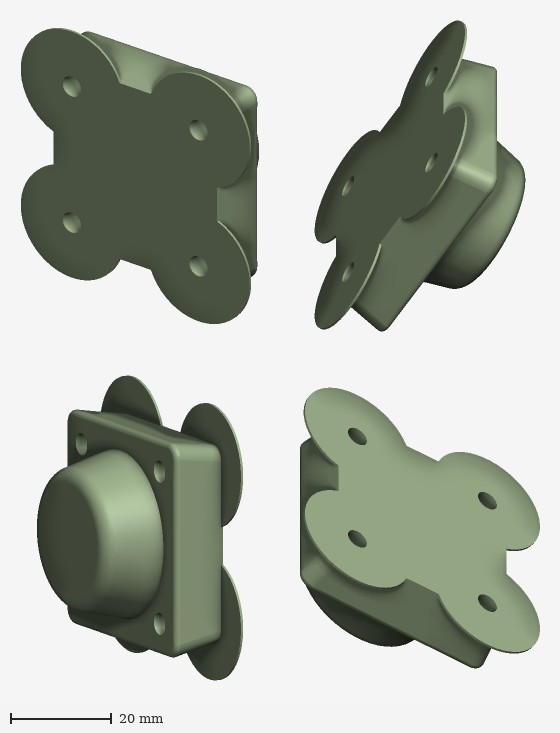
import cadquery as cq

overall_width = 55.95
overall_depth = 24.0

front_width = 40.0
back_width = 43.9
housing_depth = 12.0
corner_radius = 3.0
back_edge_radius = 1.0

tab_diameter = 25.0
tab_thickness = 0.5
hole_diameter = 4.5
hole_spacing = overall_width - tab_diameter

dome_base_diameter = 34.0
dome_end_diameter = 28.0
dome_edge_radius = 3.0
dome_height = overall_depth - housing_depth


def plane_at(depth):
    """XZ plane at the given Y, with its normal pointing to +Y."""
    return cq.Workplane(cq.Plane(origin=(0, depth, 0), xDir=(1, 0, 0), normal=(0, 1, 0)))


def discs_at_holes(diameter, depth):
    """Four round discs on the mounting hole centres, starting at the front face."""
    return (
        plane_at(0)
        .rect(hole_spacing, hole_spacing, forConstruction=True)
        .vertices()
        .circle(diameter / 2)
        .extrude(depth)
    )


def make_block():
    """Tapered block with rounded corners and a rounded back edge."""
    block = (
        plane_at(0)
        .rect(front_width, front_width)
        .workplane(offset=housing_depth)
        .rect(back_width, back_width)
        .loft(combine=True)
    )
    block = block.edges("not(<Y or >Y)").fillet(corner_radius)
    return block.faces(">Y").edges().fillet(back_edge_radius)


def make_housing():
    """Block with four tabs around its front edge and four through holes."""
    block = make_block()
    tabs = discs_at_holes(tab_diameter, tab_thickness).cut(block)
    housing = block
    for tab in tabs.solids().vals():
        housing = housing.union(cq.Workplane(tab), clean=False)
    holes = discs_at_holes(hole_diameter, housing_depth)
    return housing.cut(holes, clean=False)


def make_dome():
    """Solid cone with a rounded end, resting on the back face of the housing."""
    dome = (
        plane_at(housing_depth)
        .circle(dome_base_diameter / 2)
        .workplane(offset=dome_height)
        .circle(dome_end_diameter / 2)
        .loft(combine=True)
    )
    return dome.faces(">Y").edges().fillet(dome_edge_radius)


housing = make_housing()
dome = make_dome()

result = cq.Compound.makeCompound([housing.solids().val(), dome.solids().val()])